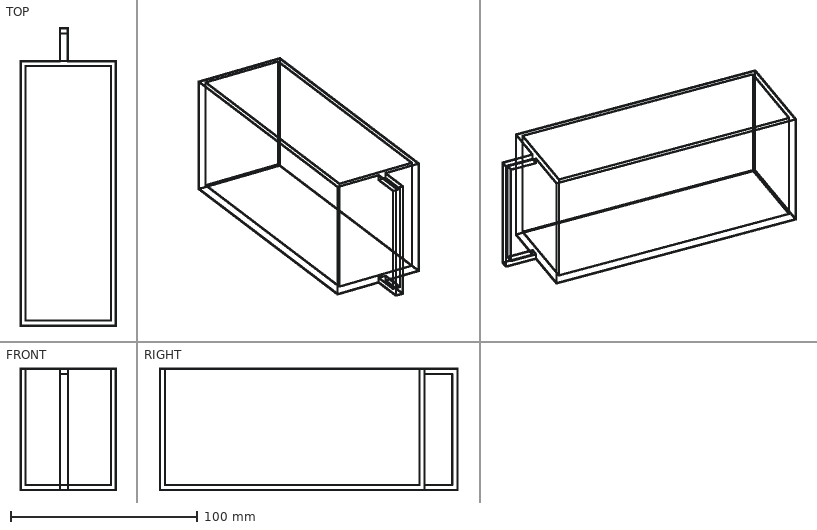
import cadquery as cq

width = 51.1
total_length = 159.8
height = 65.2

wall = 2.7
handle_reach = 17.7
handle_width = 4.3
handle_center_x = -2.4
handle_bar = 2.9

box_length = total_length - handle_reach
handle_left = handle_center_x - handle_width / 2


def block(size_x, size_y, size_z, corner):
    """Block growing from its lowest-coordinate corner."""
    return cq.Workplane("XY").box(size_x, size_y, size_z, centered=False).translate(corner)


def open_box():
    """Open-topped box, with a floor as thick as its walls."""
    outer = block(width, box_length, height, (-width / 2, 0, 0))
    cavity = block(width - 2 * wall, box_length - 2 * wall, height - wall, (-width / 2 + wall, wall, wall))
    return outer.cut(cavity)


def handle():
    """Full-height handle on the +Y wall, set to the -X side of the middle plane."""
    plate = block(handle_width, handle_reach + wall, height, (handle_left, box_length - wall, 0))
    opening = block(
        handle_width,
        handle_reach - handle_bar,
        height - 2 * handle_bar,
        (handle_left, box_length, handle_bar),
    )
    return plate.cut(opening)


result = open_box().union(handle())